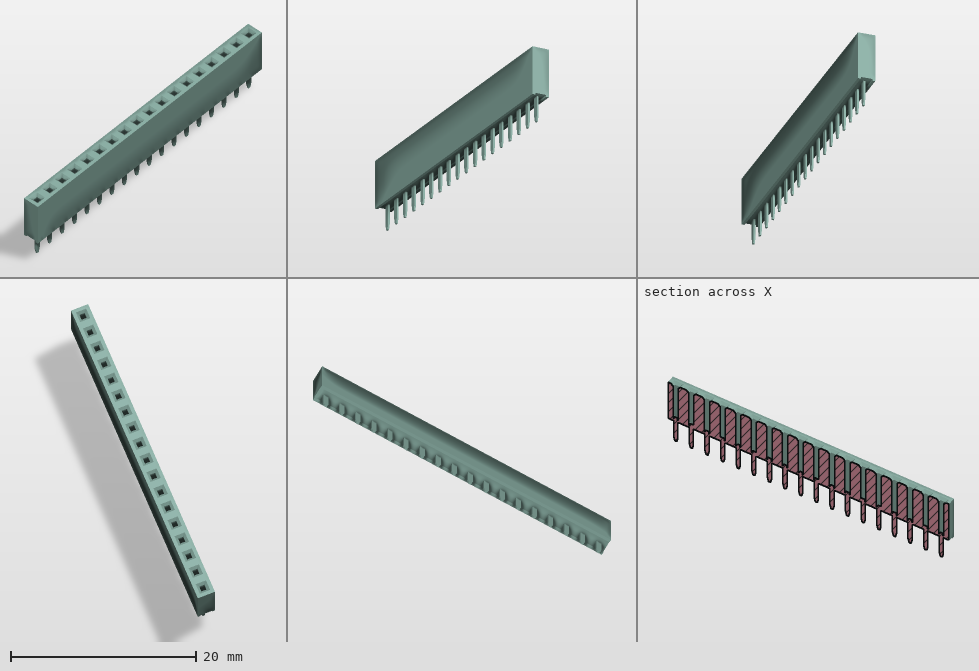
import cadquery as cq

contact_count = 18
pitch = 2.0
body_width = 2.0
body_length = contact_count * pitch
total_height = 8.3
pin_length = 2.7
body_height = total_height - pin_length

channel_width = 1.34
channel_depth = 0.2

socket_mouth = 1.2
socket_throat = 0.6
funnel_depth = 0.3
well_depth = 5.0

pin_thickness = 0.2
pin_width = 0.6
tip_width = 0.3
tip_length = 0.6
contact_width = 0.5
contact_height = 0.3

well_floor = body_height - well_depth
contact_positions = [(index - (contact_count - 1) / 2) * pitch for index in range(contact_count)]


def make_housing():
    """Rectangular block with the channel cut through its underside."""
    block = cq.Workplane("XY").box(body_width, body_length, body_height, centered=(True, True, False))
    channel = cq.Workplane("XY").box(
        channel_width, body_length, channel_depth, centered=(True, True, False)
    )
    return block.cut(channel)


def make_socket(y):
    """Volume removed for one socket: funnel at the mouth, then a straight well."""
    funnel = (
        cq.Workplane("XY", origin=(0, y, body_height))
        .rect(socket_mouth, socket_mouth)
        .workplane(offset=-funnel_depth)
        .rect(socket_throat, socket_throat)
        .loft()
    )
    well = (
        cq.Workplane("XY", origin=(0, y, well_floor))
        .rect(socket_throat, socket_throat)
        .extrude(well_depth - funnel_depth)
    )
    return funnel.union(well)


def make_pin(y):
    """Flat pin hanging from the channel roof, tapering to a blunt tip."""
    half_width = pin_width / 2
    half_tip = tip_width / 2
    shoulder = tip_length - pin_length
    outline = [
        (y - half_width, channel_depth),
        (y - half_width, shoulder),
        (y - half_tip, -pin_length),
        (y + half_tip, -pin_length),
        (y + half_width, shoulder),
        (y + half_width, channel_depth),
    ]
    return cq.Workplane("YZ").polyline(outline).close().extrude(pin_thickness / 2, both=True)


def make_contact(y):
    """Flat contact end standing on the floor of the socket well."""
    return (
        cq.Workplane("XY", origin=(0, y, well_floor))
        .rect(pin_thickness, contact_width)
        .extrude(contact_height)
    )


result = make_housing()
for y in contact_positions:
    result = result.cut(make_socket(y))
    result = result.union(make_contact(y)).union(make_pin(y))